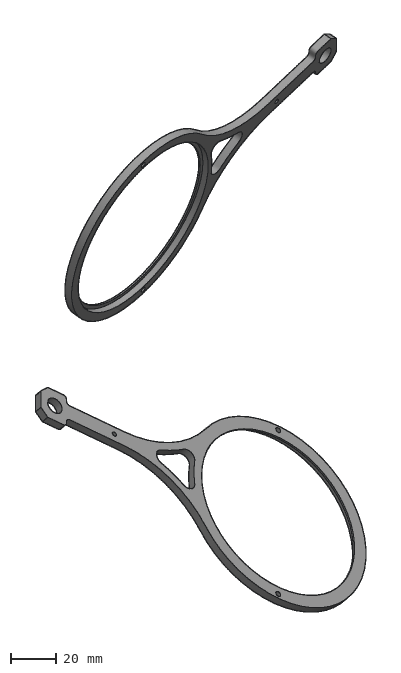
import cadquery as cq
import math

length = 181.0
thickness = 4.0

ring_outer_diameter = 98.0
ring_outer_radius = ring_outer_diameter / 2
ring_inner_radius = 42.5
seat_radius = 44.3
lip_thickness = 0.9
ring_hole_offset = 46.5
ring_hole_radius = 1.3

tip_y = length - ring_outer_radius
handle_half_width = 4.0
blend_start_y = tip_y - 46.3
handle_hole_y = tip_y - 40.9
handle_hole_radius = 1.0
head_length = 14.3
head_half_width = 8.5
head_chamfer = 3.8
head_corner_radius = 1.8
head_hole_y = tip_y - 7.8
head_hole_radius = 4.0

window_side_wall = 4.0
window_ring_wall = 4.3
window_arc_radius = ring_inner_radius + window_ring_wall
window_corner_radius = 4.0

blend_radius = (blend_start_y**2 + handle_half_width**2 - ring_outer_radius**2) / (
    2 * (ring_outer_radius - handle_half_width)
)
blend_centre_z = handle_half_width + blend_radius


def point_on_blend(radius, angle):
    """Point on a circle around the upper blend centre."""
    return (
        blend_start_y + radius * math.cos(angle),
        blend_centre_z + radius * math.sin(angle),
    )


def mirrored(point):
    """Same point on the other side of the handle's centreline."""
    return (point[0], -point[1])


def disc(y, z, radius):
    """Round plug through the plate thickness."""
    return cq.Workplane("YZ").center(y, z).circle(radius).extrude(thickness / 2, both=True)


def make_neck():
    """Handle flaring along arcs tangent to the handle sides and the ring."""
    head_inner_y = tip_y - head_length
    start_angle = -math.pi / 2
    end_angle = math.atan2(-blend_centre_z, -blend_start_y)
    start = (blend_start_y, handle_half_width)
    middle = point_on_blend(blend_radius, (start_angle + end_angle) / 2)
    join = point_on_blend(blend_radius, end_angle)
    return (
        cq.Workplane("YZ")
        .moveTo(head_inner_y, -handle_half_width)
        .lineTo(head_inner_y, handle_half_width)
        .lineTo(*start)
        .threePointArc(middle, join)
        .lineTo(0, 0)
        .lineTo(*mirrored(join))
        .threePointArc(mirrored(middle), mirrored(start))
        .close()
        .extrude(thickness / 2, both=True)
    )


def make_head():
    """Block at the handle end with its two tip corners chamfered."""
    return (
        cq.Workplane("YZ")
        .center(tip_y - head_length / 2, 0)
        .rect(head_length, 2 * head_half_width)
        .extrude(thickness / 2, both=True)
        .edges("|X and >Y")
        .chamfer(head_chamfer)
        .edges("|X and <Y")
        .fillet(head_corner_radius)
    )


def make_window():
    """Rounded triangle whose sides run parallel to the blends and the ring."""
    side_radius = blend_radius + window_side_wall
    centre_distance = ring_outer_radius + blend_radius

    tip_centre_y = blend_start_y - math.sqrt(
        (side_radius + window_corner_radius) ** 2 - blend_centre_z**2
    )
    tip_angle = math.atan2(-blend_centre_z, tip_centre_y - blend_start_y)
    tip = (tip_centre_y + window_corner_radius, 0)

    corner_turn = math.acos(
        (side_radius**2 + centre_distance**2 - window_arc_radius**2)
        / (2 * side_radius * centre_distance)
    )
    corner_angle = math.atan2(-blend_centre_z, -blend_start_y) + corner_turn

    side_start = point_on_blend(side_radius, tip_angle)
    side_middle = point_on_blend(side_radius, (tip_angle + corner_angle) / 2)
    corner = point_on_blend(side_radius, corner_angle)
    return (
        cq.Workplane("YZ")
        .moveTo(*mirrored(side_start))
        .threePointArc(tip, side_start)
        .threePointArc(side_middle, corner)
        .threePointArc((window_arc_radius, 0), mirrored(corner))
        .threePointArc(mirrored(side_middle), mirrored(side_start))
        .close()
        .extrude(thickness / 2, both=True)
        .edges("|X and <Y")
        .fillet(window_corner_radius)
    )


def make_seat():
    """Recess in the +X face of the ring that leaves a thin lip at the -X face."""
    return (
        cq.Workplane("YZ", origin=(lip_thickness - thickness / 2, 0, 0))
        .circle(seat_radius)
        .extrude(thickness - lip_thickness)
    )


def round_head_neck(body):
    """Fillet the two inner corners between the head and the handle."""
    for side in (-1, 1):
        corner = (0, tip_y - head_length, side * handle_half_width)
        body = body.edges(cq.selectors.NearestToPointSelector(corner)).fillet(head_corner_radius)
    return body


body = disc(0, 0, ring_outer_radius).union(make_neck()).union(make_head())
body = round_head_neck(body)

body = body.cut(disc(0, 0, ring_inner_radius)).cut(make_seat()).cut(make_window())
body = body.cut(disc(head_hole_y, 0, head_hole_radius))
body = body.cut(disc(handle_hole_y, 0, handle_hole_radius))
for side in (-1, 1):
    body = body.cut(disc(0, side * ring_hole_offset, ring_hole_radius))

result = body